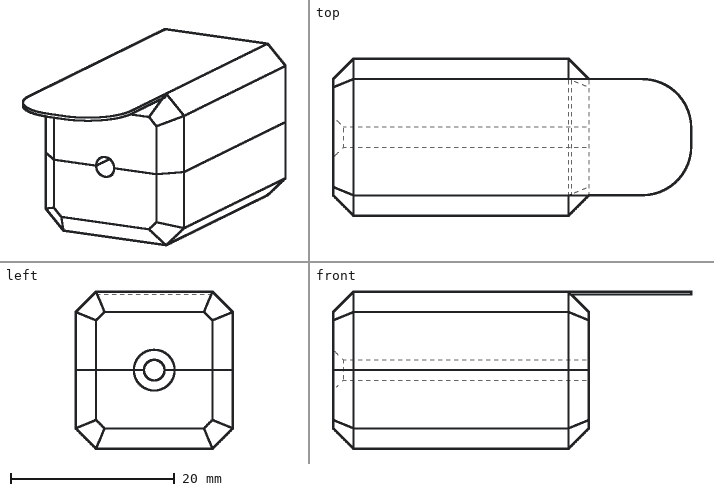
import cadquery as cq

block_length = 31.2
block_side = 19.2
edge_chamfer = 2.5

overall_length = 43.7
tab_thickness = 0.4
tab_corner_radius = 6.0

hole_diameter = 2.5
countersink_diameter = 5.0
countersink_depth = (countersink_diameter - hole_diameter) / 2

half_height = block_side / 2
top_face_width = block_side - 2 * edge_chamfer
tab_start = block_length - edge_chamfer
tab_length = overall_length - tab_start


def half_block(bottom_z):
    """Half of the octagonal block with bevelled ends, from bottom_z up by half its height."""
    block = (
        cq.Workplane("XY")
        .box(block_length, block_side, block_side, centered=(False, True, True))
        .edges("|X")
        .chamfer(edge_chamfer)
        .faces("<X or >X")
        .chamfer(edge_chamfer)
    )
    half_space = (
        cq.Workplane("XY")
        .workplane(offset=bottom_z)
        .box(block_length, block_side, half_height, centered=(False, True, False))
    )
    return block.intersect(half_space)


def tab():
    """Flat tab flush with the top face, rounded at its free corners."""
    return (
        cq.Workplane("XY")
        .workplane(offset=half_height - tab_thickness)
        .moveTo(tab_start + tab_length / 2, 0)
        .rect(tab_length, top_face_width)
        .extrude(tab_thickness)
        .edges("|Z and >X")
        .fillet(tab_corner_radius)
    )


def cord_hole():
    """Through hole with its countersink, as a solid to cut away."""
    hole_radius = hole_diameter / 2
    return (
        cq.Workplane("XY")
        .lineTo(0, countersink_diameter / 2)
        .lineTo(countersink_depth, hole_radius)
        .lineTo(block_length, hole_radius)
        .lineTo(block_length, 0)
        .close()
        .revolve(360, (0, 0, 0), (1, 0, 0))
    )


upper_half = half_block(0).union(tab()).cut(cord_hole())
lower_half = half_block(-half_height).cut(cord_hole())

result = cq.Compound.makeCompound([upper_half.val(), lower_half.val()])